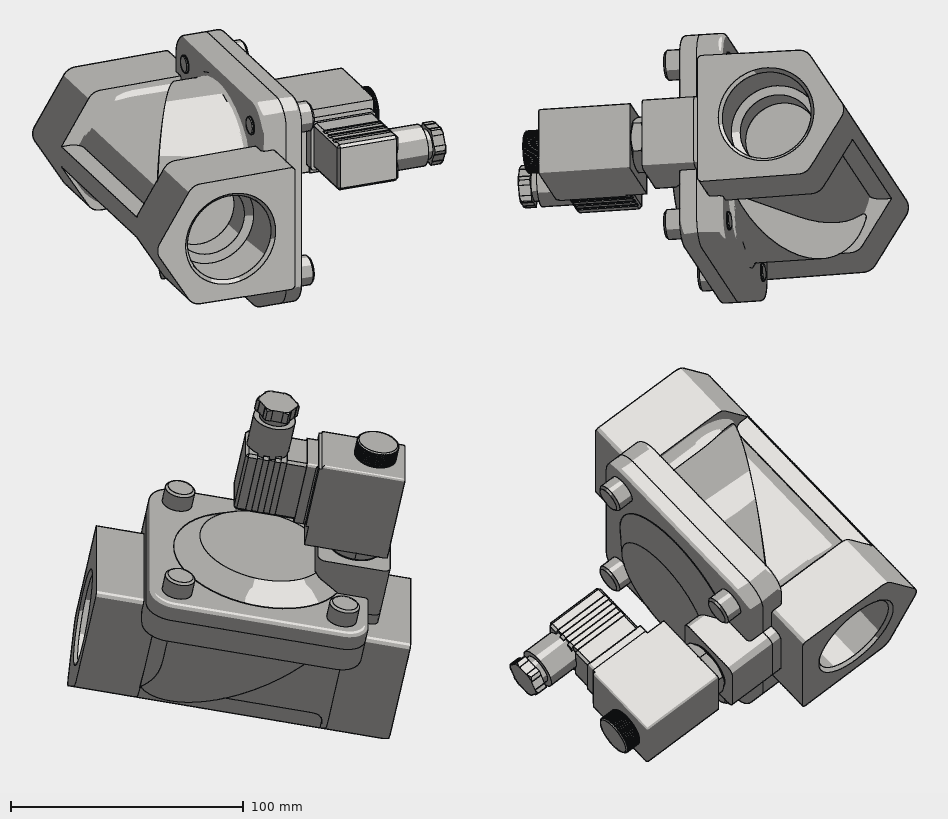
import cadquery as cq
import math


BODY_LENGTH = 137.5
FITTING_LENGTH = 27.5
NECK_HALF_LENGTH = BODY_LENGTH / 2 - FITTING_LENGTH
KEEL_Y = -34.0
FITTING_TOP_Y = 30.1
FITTING_TOP_HALF_WIDTH = 28.5
FITTING_SHOULDER_HALF_WIDTH = 28.0
KEEL_SLOPE = 32.0
CORNER_RADIUS = 6.5
FITTING_TOP_FILLET = 2.0
PIPE_RADIUS = 24.1
PIPE_FILLET = 5.0
RIB_HALF_WIDTH = 4.7
RIB_TOP_Y = -20.0

PORT_DIAMETER = 38.95
PORT_CHAMFER = 1.5
PORT_DEPTH = 20.5
PORT_CONE_LENGTH = 2.0
PASSAGE_DIAMETER = 32.0
PASSAGE_DEPTH = 34.0

CHAMBER_RADIUS = 41.5
CHAMBER_TILT = 30.0
CHAMBER_RIM_SLOPE = 10.0
CHAMBER_FILLET = 2.0
FLANGE_SIZE = 96.0
FLANGE_CORNER_RADIUS = 11.0
FLANGE_EDGE_FILLET = 1.9
FLANGE_BOTTOM_Y = 23.4
PARTING_Y = 34.75
FLANGE_TOP_Y = 42.6

DOME_STEP = 0.25
DOME_TOP_Y = 50.2
DOME_TOP_RADIUS = 27.5
DOME_BASE_RADIUS = 37.5
BOLT_OFFSET = 36.0
BOLT_DIAMETER = 8.0
BOLT_TIP_CHAMFER = 0.45
BOLT_TIP_Y = 22.5
BOLT_HEAD_DIAMETER = 13.0
BOLT_HEAD_HEIGHT = 8.0
BOLT_HEAD_CHAMFER = 1.0

PILOT_X = -38.6
PILOT_SIZE = 31.6
PILOT_CORNER_RADIUS = 3.3
PILOT_TOP_Y = 57.4

HEX_WIDTH = 21.8
HEX_CHAMFER_ANGLE = 30.0
HEX_WASHER_THICKNESS = 0.4
COIL_BOTTOM_Y = 63.2
COIL_TOP_Y = 103.4
COIL_LEFT_X = -52.0
COIL_RIGHT_X = -15.7
COIL_THICKNESS = 29.4
COIL_FILLET = 1.0
SHOULDER_RIGHT_X = -14.5
SHOULDER_BOTTOM_Y = 72.3
SHOULDER_TOP_Y = 102.0
CAP_NUT_DIAMETER = 18.3
CAP_NUT_ROOT_DIAMETER = 18.0
CAP_NUT_TEETH = 60
CAP_NUT_CHAMFER = 0.7
CAP_NUT_TOP_Y = 111.2

PLATE_RIGHT_X = -9.5
PLATE_BOTTOM_Y = 70.8
PLATE_TOP_Y = 100.9
PLATE_HALF_WIDTH = 11.3
PLATE_CHAMFER = 0.9
PLUG_RIGHT_X = 17.1
PLUG_BOTTOM_Y = 72.0
PLUG_TOP_Y = 100.4
PLUG_HALF_WIDTH = 10.6
PLUG_CHAMFER = 1.2
GROOVE_FIRST_X = -0.9
GROOVE_WIDTH = 2.6
GROOVE_PITCH = 5.15
GROOVE_COUNT = 3
GROOVE_SIDE_DEPTH = 0.5
GROOVE_TOP_DEPTH = 1.2
GLAND_X = 7.5
GLAND_DIAMETER = 18.3
GLAND_TOP_Y = 114.5
GLAND_NECK_DIAMETER = 13.2
KNOB_BOTTOM_Y = 117.5
KNOB_TOP_Y = 122.79
KNOB_WIDTH = 16.2
KNOB_NOTCH_WIDTH = 4.6
KNOB_NOTCH_DEPTH = 0.25
KNOB_CHAMFER = 0.8


def span_box(x_span, y_span, half_z):
    """Box between two X values and two Y values, centred on Z = 0."""
    size = (x_span[1] - x_span[0], y_span[1] - y_span[0], 2 * half_z)
    middle = (sum(x_span) / 2, sum(y_span) / 2, 0)
    return cq.Workplane("XY").box(*size).translate(middle)


def along_y(x, z, y):
    """Workplane centred at (x, y, z) that extrudes towards +Y."""
    return cq.Workplane(cq.Plane(origin=(x, y, z), xDir=(1, 0, 0), normal=(0, 1, 0)))


def cylinder_y(x, z, diameter, y_start, y_end):
    return along_y(x, z, y_start).circle(diameter / 2).extrude(y_end - y_start)


def square_y(x, size, corner_radius, y_start, y_end):
    """Square bar along Y with rounded long edges."""
    bar = along_y(x, 0, y_start).rect(size, size).extrude(y_end - y_start)
    return bar.edges("|Y").fillet(corner_radius)


def fitting_prism(x_start, x_end):
    """Five-sided fitting section, ridge pointing to -Y."""
    slope = math.radians(KEEL_SLOPE)
    ridge_y = KEEL_Y + CORNER_RADIUS - CORNER_RADIUS / math.cos(slope)
    shoulder_y = ridge_y + FITTING_SHOULDER_HALF_WIDTH * math.tan(slope)
    outline = [
        (FITTING_TOP_Y, -FITTING_TOP_HALF_WIDTH),
        (FITTING_TOP_Y, FITTING_TOP_HALF_WIDTH),
        (shoulder_y, FITTING_SHOULDER_HALF_WIDTH),
        (ridge_y, 0),
        (shoulder_y, -FITTING_SHOULDER_HALF_WIDTH),
    ]
    plane = cq.Workplane("YZ", origin=(x_start, 0, 0))
    prism = plane.polyline(outline).close().extrude(x_end - x_start)
    prism = prism.edges("|X and (not >Y)").fillet(CORNER_RADIUS)
    return prism.edges("|X and >Y").fillet(FITTING_TOP_FILLET)


def neck():
    """U-section pipe flaring into both fittings, with a keel rib."""
    straight_end = NECK_HALF_LENGTH - PIPE_FILLET
    flare_radius = PIPE_RADIUS + PIPE_FILLET
    mid = PIPE_FILLET * math.sqrt(0.5)
    flare_mid = (straight_end + mid, flare_radius - mid)

    def half_section():
        return (
            cq.Workplane("XY")
            .moveTo(-NECK_HALF_LENGTH, 0)
            .lineTo(-NECK_HALF_LENGTH, flare_radius)
            .threePointArc((-flare_mid[0], flare_mid[1]), (-straight_end, PIPE_RADIUS))
            .lineTo(straight_end, PIPE_RADIUS)
            .threePointArc(flare_mid, (NECK_HALF_LENGTH, flare_radius))
            .lineTo(NECK_HALF_LENGTH, 0)
            .close()
        )

    pipe = half_section().revolve(360, (0, 0, 0), (1, 0, 0))
    side_wall = half_section().extrude(FLANGE_BOTTOM_Y).rotate((0, 0, 0), (1, 0, 0), -90)
    side_walls = side_wall.union(side_wall.mirror("XY"))
    span = (-NECK_HALF_LENGTH, NECK_HALF_LENGTH)
    rib = span_box(span, (KEEL_Y, RIB_TOP_Y), RIB_HALF_WIDTH)
    return pipe.union(side_walls).union(rib).intersect(fitting_prism(*span))


def chamber():
    """Round diaphragm chamber under the flange with a slanted floor."""
    fillet_mid = CHAMBER_FILLET * (1 - math.sqrt(0.5))
    fillet_low_y = FLANGE_BOTTOM_Y - CHAMBER_FILLET
    column = (
        cq.Workplane("XY")
        .moveTo(0, KEEL_Y)
        .lineTo(CHAMBER_RADIUS, KEEL_Y)
        .lineTo(CHAMBER_RADIUS, fillet_low_y)
        .threePointArc(
            (CHAMBER_RADIUS + fillet_mid, FLANGE_BOTTOM_Y - fillet_mid),
            (CHAMBER_RADIUS + CHAMBER_FILLET, FLANGE_BOTTOM_Y),
        )
        .lineTo(0, FLANGE_BOTTOM_Y)
        .close()
        .revolve(360, (0, 0, 0), (0, 1, 0))
    )
    reach = 2 * CHAMBER_RADIUS
    rim_rise = (reach - CHAMBER_RADIUS) * math.tan(math.radians(CHAMBER_RIM_SLOPE))
    floor_side = (
        cq.Workplane("XY")
        .polyline([(0, 0), (CHAMBER_RADIUS, 0), (reach, rim_rise), (reach, reach), (0, reach)])
        .close()
        .revolve(360, (0, 0, 0), (0, 1, 0))
        .rotate((0, 0, 0), (0, 0, 1), -CHAMBER_TILT)
    )
    return column.intersect(floor_side)


def port():
    """Threaded port at the -X end, chamfered, stepping down to the passage."""
    face_x = -BODY_LENGTH / 2
    radius = PORT_DIAMETER / 2
    passage_radius = PASSAGE_DIAMETER / 2
    profile = [
        (face_x, 0),
        (face_x, radius + PORT_CHAMFER),
        (face_x + PORT_CHAMFER, radius),
        (face_x + PORT_DEPTH, radius),
        (face_x + PORT_DEPTH + PORT_CONE_LENGTH, passage_radius),
        (face_x + PASSAGE_DEPTH, passage_radius),
        (face_x + PASSAGE_DEPTH, 0),
    ]
    return cq.Workplane("XY").polyline(profile).close().revolve(360, (0, 0, 0), (1, 0, 0))


def flange_half(y_start, y_end, outer_face):
    plate = square_y(0, FLANGE_SIZE, FLANGE_CORNER_RADIUS, y_start, y_end)
    return plate.faces(outer_face).edges().fillet(FLANGE_EDGE_FILLET)


def bolt_positions():
    return [(x, z) for x in (-BOLT_OFFSET, BOLT_OFFSET) for z in (-BOLT_OFFSET, BOLT_OFFSET)]


def make_body():
    fitting = fitting_prism(-BODY_LENGTH / 2, -NECK_HALF_LENGTH)
    body = neck().union(fitting).union(fitting.mirror("YZ"))
    body = body.union(chamber())
    body = body.union(flange_half(FLANGE_BOTTOM_Y, PARTING_Y, "<Y"))
    pilot_foot = square_y(PILOT_X, PILOT_SIZE, PILOT_CORNER_RADIUS, FLANGE_BOTTOM_Y, PARTING_Y)
    body = body.union(pilot_foot)
    body = body.cut(port()).cut(port().mirror("YZ"))
    for x, z in bolt_positions():
        body = body.cut(cylinder_y(x, z, BOLT_DIAMETER, BOLT_TIP_Y, PARTING_Y))
    return body


def bolt(x, z):
    head_top_y = FLANGE_TOP_Y + BOLT_HEAD_HEIGHT
    shank = cylinder_y(x, z, BOLT_DIAMETER, BOLT_TIP_Y, FLANGE_TOP_Y)
    shank = shank.faces("<Y").chamfer(BOLT_TIP_CHAMFER)
    head = cylinder_y(x, z, BOLT_HEAD_DIAMETER, FLANGE_TOP_Y, head_top_y)
    return shank.union(head.faces(">Y").chamfer(BOLT_HEAD_CHAMFER))


def make_cover():
    cover = flange_half(PARTING_Y, FLANGE_TOP_Y, ">Y")
    dome = (
        cq.Workplane("XY")
        .moveTo(0, PARTING_Y)
        .lineTo(DOME_BASE_RADIUS, PARTING_Y)
        .lineTo(DOME_BASE_RADIUS, FLANGE_TOP_Y + DOME_STEP)
        .lineTo(DOME_TOP_RADIUS, DOME_TOP_Y)
        .lineTo(0, DOME_TOP_Y)
        .close()
        .revolve(360, (0, 0, 0), (0, 1, 0))
    )
    pilot = square_y(PILOT_X, PILOT_SIZE, PILOT_CORNER_RADIUS, PARTING_Y, PILOT_TOP_Y)
    cover = cover.union(dome).union(pilot)
    for x, z in bolt_positions():
        cover = cover.union(bolt(x, z))
    return cover


def hexagon_y(x, width, y_start, y_end, turn):
    """Hexagonal bar along Y; turn rotates its corners about Y."""
    corner_diameter = width / math.cos(math.pi / 6)
    bar = along_y(x, 0, y_start).polygon(6, corner_diameter).extrude(y_end - y_start)
    return bar.rotate((x, 0, 0), (x, 1, 0), turn)


def hex_nut():
    """Armature nut with corners bevelled at both ends, on a thin washer face."""
    low_y = PILOT_TOP_Y + HEX_WASHER_THICKNESS
    flat_radius = HEX_WIDTH / 2
    corner_radius = flat_radius / math.cos(math.pi / 6)
    bevel = (corner_radius - flat_radius) * math.tan(math.radians(HEX_CHAMFER_ANGLE))
    nut = hexagon_y(PILOT_X, HEX_WIDTH, low_y, COIL_BOTTOM_Y, 30)
    envelope = cylinder_y(PILOT_X, 0, 2 * corner_radius, low_y, COIL_BOTTOM_Y)
    envelope = envelope.faces("<Y or >Y").chamfer(bevel, corner_radius - flat_radius)
    washer = cylinder_y(PILOT_X, 0, HEX_WIDTH, PILOT_TOP_Y, low_y)
    return nut.intersect(envelope).union(washer)


def cap_nut():
    """Knurled nut that holds the coil down."""
    points = []
    for step in range(2 * CAP_NUT_TEETH):
        diameter = CAP_NUT_ROOT_DIAMETER if step % 2 else CAP_NUT_DIAMETER
        angle = math.pi * step / CAP_NUT_TEETH
        points.append((diameter / 2 * math.cos(angle), diameter / 2 * math.sin(angle)))
    height = CAP_NUT_TOP_Y - COIL_TOP_Y
    knurl = along_y(PILOT_X, 0, COIL_TOP_Y).polyline(points).close().extrude(height)
    envelope = cylinder_y(PILOT_X, 0, CAP_NUT_DIAMETER, COIL_TOP_Y, CAP_NUT_TOP_Y)
    return knurl.intersect(envelope.faces("<Y or >Y").chamfer(CAP_NUT_CHAMFER))


def coil():
    """Coil block with a low shoulder on the side that carries the plug."""
    block = span_box((COIL_LEFT_X, COIL_RIGHT_X), (COIL_BOTTOM_Y, COIL_TOP_Y), COIL_THICKNESS / 2)
    block = block.edges(">Y or (<X and |Y)").fillet(COIL_FILLET)
    shoulder_x = (COIL_RIGHT_X - COIL_FILLET, SHOULDER_RIGHT_X)
    shoulder_y = (SHOULDER_BOTTOM_Y, SHOULDER_TOP_Y)
    return block.union(span_box(shoulder_x, shoulder_y, COIL_THICKNESS / 2))


def plug():
    """Connector housing with its mounting plate, grooved on its top and sides."""
    plate = span_box((SHOULDER_RIGHT_X, PLATE_RIGHT_X), (PLATE_BOTTOM_Y, PLATE_TOP_Y), PLATE_HALF_WIDTH)
    plate = plate.edges("<X and |Y").chamfer(PLATE_CHAMFER)
    plate = plate.edges("|X").fillet(PLUG_CHAMFER)
    y_span = (PLUG_BOTTOM_Y, PLUG_TOP_Y)
    housing = span_box((PLATE_RIGHT_X, PLUG_RIGHT_X), y_span, PLUG_HALF_WIDTH)
    housing = housing.edges("|X or >X").chamfer(PLUG_CHAMFER)
    core_y = (PLUG_BOTTOM_Y, PLUG_TOP_Y - GROOVE_TOP_DEPTH)
    for index in range(GROOVE_COUNT):
        start = GROOVE_FIRST_X + index * GROOVE_PITCH
        x_span = (start, start + GROOVE_WIDTH)
        groove = span_box(x_span, y_span, PLUG_HALF_WIDTH)
        groove = groove.cut(span_box(x_span, core_y, PLUG_HALF_WIDTH - GROOVE_SIDE_DEPTH))
        housing = housing.cut(groove)
    return plate.union(housing)


def knob():
    """Hexagonal gland nut with a shallow notch in each flat."""
    nut = hexagon_y(GLAND_X, KNOB_WIDTH, KNOB_BOTTOM_Y, KNOB_TOP_Y, 0)
    corner_diameter = KNOB_WIDTH / math.cos(math.pi / 6)
    envelope = cylinder_y(GLAND_X, 0, corner_diameter, KNOB_BOTTOM_Y, KNOB_TOP_Y)
    nut = nut.intersect(envelope.faces(">Y").chamfer(KNOB_CHAMFER))
    height = KNOB_TOP_Y - KNOB_BOTTOM_Y
    flat = along_y(GLAND_X, KNOB_WIDTH / 2, KNOB_BOTTOM_Y)
    notch = flat.rect(KNOB_NOTCH_WIDTH, 2 * KNOB_NOTCH_DEPTH).extrude(height)
    for side in range(6):
        nut = nut.cut(notch.rotate((GLAND_X, 0, 0), (GLAND_X, 1, 0), 60 * side))
    return nut


def cable_gland():
    barrel_start = PLUG_TOP_Y - GROOVE_TOP_DEPTH
    barrel = cylinder_y(GLAND_X, 0, GLAND_DIAMETER, barrel_start, GLAND_TOP_Y)
    gland_neck = cylinder_y(GLAND_X, 0, GLAND_NECK_DIAMETER, GLAND_TOP_Y, KNOB_BOTTOM_Y)
    return barrel.union(gland_neck).union(knob())


def make_solenoid():
    solenoid = coil().union(hex_nut()).union(cap_nut())
    return solenoid.union(plug()).union(cable_gland())


body = make_body()
cover = make_cover()
solenoid = make_solenoid()

result = cq.Compound.makeCompound([body.val(), cover.val(), solenoid.val()])